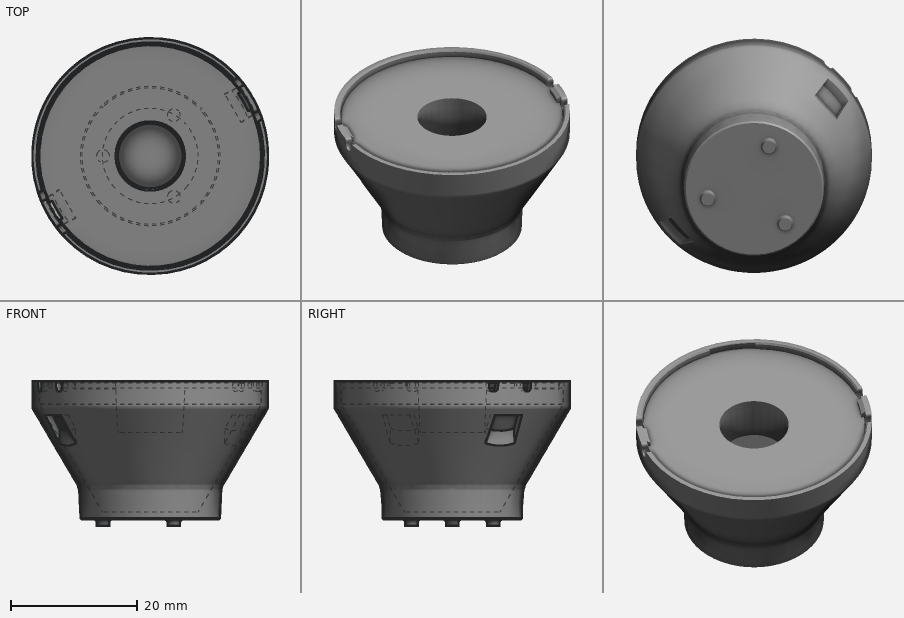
import cadquery as cq
import math

foot_height = 1.0
neck_top_z = 6.15
rim_bottom_z = 18.72
rim_top_z = 22.9
lens_drop = 1.12
lens_top_z = rim_top_z - lens_drop

rim_radius = 18.65
neck_top_radius = 11.25
neck_bottom_radius = 11.05
neck_chamfer = 0.25
rim_round = 1.12
neck_round = 1.85
cone_slope = (rim_radius - neck_top_radius) / (rim_bottom_z - neck_top_z)

cone_wall = 1.38
lens_radius = 17.53
lens_gap = 0.07
bore_radius = lens_radius + lens_gap
floor_thickness = 1.2
floor_z = foot_height + floor_thickness
lens_hole_radius = 5.5
lens_hole_floor_radius = 5.1
lens_hole_depth = 6.97

mouth_radius = 17.7
mouth_depth = 0.97
mouth_chamfer = 0.25

clip_angles = (30.0, 210.0)
slot_offset = 3.05
slot_width = 1.5
slot_depth = 1.65
slot_lip_round = 0.45
barb_width = 3.2
barb_tip_radius = 17.05
barb_slope_drop = 0.4

window_wall_distance = 15.1
window_bottom_z = 12.3
window_top_z = 17.53
window_bottom_width = 5.35
window_top_width = 4.92

body_overlap = 0.37
rim_overlap_radius = rim_radius - body_overlap
foot_overlap_z = foot_height + body_overlap

recess_angle = 120.0
recess_span = 24.0
recess_radius = 17.85
recess_depth = 1.25

foot_diameter = 2.0
foot_circle_radius = 7.45
foot_root_round = 0.37
foot_angles = (60.0, 180.0, 300.0)


def inner_cone_radius(z):
    """Radius of the conical seat shared by the housing and the lens."""
    return neck_top_radius - cone_wall + cone_slope * (z - neck_top_z)


def inner_cone_height(radius):
    """Height at which the conical seat reaches a radius."""
    return neck_top_z + (radius - neck_top_radius + cone_wall) / cone_slope


def turned(points, angle=360.0):
    """Solid of revolution about Z from (radius, height) points."""
    return cq.Workplane("XZ").polyline(points).close().revolve(angle, (0, 0), (0, 1))


def conical_plug(radius, top_z):
    """Seat cone rising from the cavity floor into a cylinder of the given radius."""
    return turned([
        (0, floor_z),
        (inner_cone_radius(floor_z), floor_z),
        (radius, inner_cone_height(radius)),
        (radius, top_z),
        (0, top_z),
    ])


def round_ring_edge(solid, z, radius):
    """Round the circular edge centred on the main axis at height z."""
    reach = 0.05
    ring = cq.selectors.BoxSelector((-reach, -reach, z - reach), (reach, reach, z + reach))
    return solid.edges(ring).fillet(radius)


def radial_plane(angle):
    """Plane facing outward at an angle: local x is tangential, local y is up."""
    direction = (math.cos(math.radians(angle)), math.sin(math.radians(angle)), 0)
    tangent = (-direction[1], direction[0], 0)
    return cq.Workplane(cq.Plane((0, 0, 0), tangent, direction))


def radial_bar(angle, width):
    """Tall bar from the main axis outward, used to trim rings to a width."""
    return radial_plane(angle).rect(width, 2 * rim_top_z).extrude(rim_radius)


def housing_shell():
    shell = turned([
        (0, foot_height),
        (neck_bottom_radius - neck_chamfer, foot_height),
        (neck_bottom_radius, foot_height + neck_chamfer),
        (neck_top_radius, neck_top_z),
        (rim_radius, rim_bottom_z),
        (rim_radius, rim_top_z),
        (0, rim_top_z),
    ])
    shell = round_ring_edge(shell, rim_bottom_z, rim_round)
    shell = round_ring_edge(shell, neck_top_z, neck_round)
    shell = shell.cut(conical_plug(bore_radius, rim_top_z))
    mouth = turned([
        (0, rim_top_z - mouth_depth),
        (bore_radius, rim_top_z - mouth_depth),
        (mouth_radius, rim_top_z - mouth_chamfer),
        (mouth_radius + mouth_chamfer, rim_top_z),
        (0, rim_top_z),
    ])
    return shell.cut(mouth)


def rim_recess():
    """Sector of the rim opening with a larger radius."""
    sector = turned([
        (0, rim_top_z - recess_depth),
        (recess_radius, rim_top_z - recess_depth),
        (recess_radius, rim_top_z),
        (0, rim_top_z),
    ], recess_span)
    return sector.rotate((0, 0, 0), (0, 0, 1), recess_angle - recess_span / 2)


def clip_tab(angle):
    """Square-edged stretch of rim between the two slots."""
    tab_ring = turned([
        (mouth_radius, rim_top_z - mouth_depth),
        (rim_overlap_radius, rim_top_z - mouth_depth),
        (rim_overlap_radius, rim_top_z),
        (mouth_radius, rim_top_z),
    ])
    return tab_ring.intersect(radial_bar(angle, 2 * slot_offset))


def clip_barb(angle):
    """Hook with a sloped lead-in, resting on the lens face."""
    barb_ring = turned([
        (barb_tip_radius, lens_top_z),
        (rim_overlap_radius, lens_top_z),
        (rim_overlap_radius, rim_top_z),
        (mouth_radius, rim_top_z),
        (barb_tip_radius, rim_top_z - barb_slope_drop),
    ])
    return barb_ring.intersect(radial_bar(angle, barb_width))


def clip_slot(angle, offset):
    """Round-bottomed slot with rounded lips, cut outward through the rim."""
    half = slot_width / 2
    lip = half + slot_lip_round
    lip_z = rim_top_z - slot_lip_round
    bottom_z = rim_top_z - slot_depth
    lip_mid = slot_lip_round * (1 - math.sqrt(0.5))
    return (
        radial_plane(angle)
        .moveTo(offset - lip, rim_top_z)
        .threePointArc((offset - half - lip_mid, rim_top_z - lip_mid), (offset - half, lip_z))
        .lineTo(offset - half, bottom_z + half)
        .threePointArc((offset, bottom_z), (offset + half, bottom_z + half))
        .lineTo(offset + half, lip_z)
        .threePointArc((offset + half + lip_mid, rim_top_z - lip_mid), (offset + lip, rim_top_z))
        .close()
        .extrude(rim_radius)
    )


def window(angle):
    """Pocket with a flat inner wall and sides that close in toward the top."""
    return (
        radial_plane(angle)
        .workplane(offset=window_wall_distance)
        .polyline([
            (-window_bottom_width / 2, window_bottom_z),
            (window_bottom_width / 2, window_bottom_z),
            (window_top_width / 2, window_top_z),
            (-window_top_width / 2, window_top_z),
        ])
        .close()
        .extrude(rim_radius - window_wall_distance)
    )


def foot(angle):
    """Locating peg with a concave root under the neck."""
    radius = foot_diameter / 2
    root_radius = radius + foot_root_round
    root_z = foot_height - foot_root_round
    arc_mid = foot_root_round * (1 - math.sqrt(0.5))
    peg = (
        cq.Workplane("XZ")
        .moveTo(0, 0)
        .lineTo(radius, 0)
        .lineTo(radius, root_z)
        .threePointArc((radius + arc_mid, foot_height - arc_mid), (root_radius, foot_height))
        .lineTo(root_radius, foot_overlap_z)
        .lineTo(0, foot_overlap_z)
        .close()
        .revolve(360, (0, 0), (0, 1))
    )
    return peg.translate((foot_circle_radius, 0, 0)).rotate((0, 0, 0), (0, 0, 1), angle)


def make_housing():
    body = housing_shell().cut(rim_recess())
    for angle in clip_angles:
        body = body.union(clip_tab(angle)).union(clip_barb(angle))
        for offset in (-slot_offset, slot_offset):
            body = body.cut(clip_slot(angle, offset))
        body = body.cut(window(angle))
    for angle in foot_angles:
        body = body.union(foot(angle))
    return body


def make_lens():
    hole_floor_z = lens_top_z - lens_hole_depth
    hole = turned([
        (0, hole_floor_z),
        (lens_hole_floor_radius, hole_floor_z),
        (lens_hole_radius, lens_top_z),
        (0, lens_top_z),
    ])
    return conical_plug(lens_radius, lens_top_z).cut(hole)


housing = make_housing()
lens = make_lens()

result = cq.Compound.makeCompound([housing.solids().val(), lens.solids().val()])